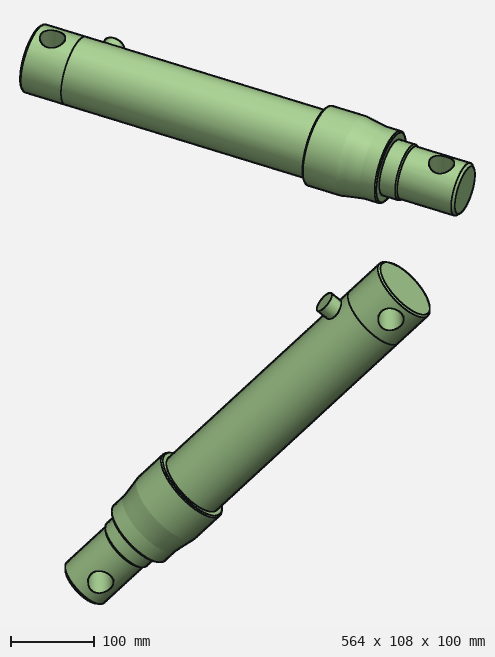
import cadquery as cq


cap_length = 54.5
gland_start = 373.0
cone_start = 418.0
cone_end = 446.5
gland_end = 467.5
rod_step = 490.0
overall_length = 564.0

tube_diameter = 85.0
gland_diameter = 100.0
gland_nose_diameter = 90.0
rod_diameter = 70.0
rod_eye_diameter = 66.0
pin_hole_diameter = 30.5
port_diameter = 27.0

cap_hole_x = 25.0
rod_hole_x = 533.5
port_x = 79.5
overall_width = 108.0
port_reach = overall_width - gland_diameter / 2

cap_chamfer = 2.0
gland_chamfer = 1.5
rod_end_chamfer = 3.5


def cylinder_x(diameter, start, end):
    """Round bar along X between two stations."""
    return cq.Workplane("YZ", origin=(start, 0, 0)).circle(diameter / 2).extrude(end - start)


def pin_hole(x):
    """Cutter for a vertical pin hole through the whole cylinder."""
    return (
        cq.Workplane("XY", origin=(x, 0, 0))
        .circle(pin_hole_diameter / 2)
        .extrude(tube_diameter, both=True)
    )


def make_cap():
    """Solid base end with a pin hole."""
    cap = cylinder_x(tube_diameter, 0, cap_length)
    return cap.faces("<X").chamfer(cap_chamfer).cut(pin_hole(cap_hole_x))


def make_tube():
    """Barrel between the cap and the gland, bored to hold the rod."""
    tube = cylinder_x(tube_diameter, cap_length, gland_start)
    return tube.cut(cylinder_x(rod_diameter, cap_length, gland_start))


def make_gland():
    """Collar that tapers to a narrower nose, bored for the rod."""
    body_radius = gland_diameter / 2
    nose_radius = gland_nose_diameter / 2
    bore_radius = rod_diameter / 2
    profile = [
        (gland_start, bore_radius),
        (gland_start, body_radius - gland_chamfer),
        (gland_start + gland_chamfer, body_radius),
        (cone_start, body_radius),
        (cone_end, nose_radius),
        (gland_end - gland_chamfer, nose_radius),
        (gland_end, nose_radius - gland_chamfer),
        (gland_end, bore_radius),
    ]
    return cq.Workplane("XY").polyline(profile).close().revolve(360, (0, 0, 0), (1, 0, 0))


def make_rod():
    """Rod with a chamfered step down to its eye end."""
    step_chamfer = (rod_diameter - rod_eye_diameter) / 2
    shank = cylinder_x(rod_diameter, cap_length, rod_step).faces(">X").chamfer(step_chamfer)
    eye = cylinder_x(rod_eye_diameter, rod_step, overall_length).faces(">X").chamfer(rod_end_chamfer)
    return shank.union(eye).cut(pin_hole(rod_hole_x))


def make_port():
    """Round boss on the +Y side, its foot shaped to the barrel."""
    boss = cq.Workplane("XZ", origin=(port_x, 0, 0)).circle(port_diameter / 2).extrude(-port_reach)
    return boss.cut(cylinder_x(tube_diameter, cap_length, gland_start))


cap = make_cap()
tube = make_tube()
gland = make_gland()
rod = make_rod()
port = make_port()

result = cq.Compound.makeCompound([cap.val(), tube.val(), gland.val(), rod.val(), port.val()])